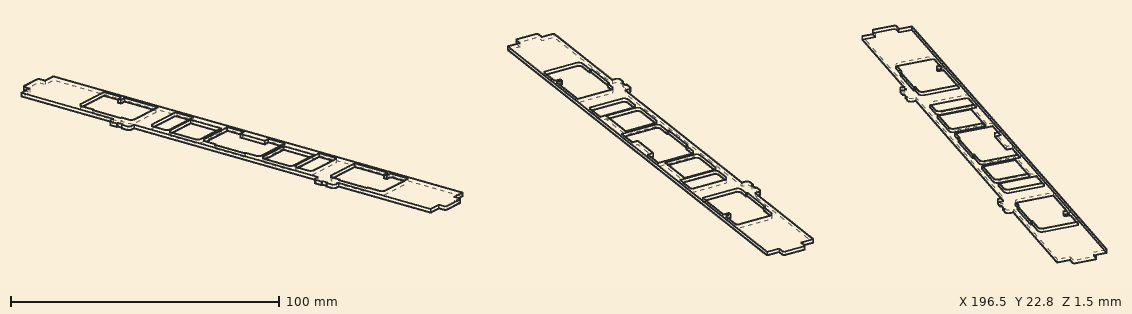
import cadquery as cq

overall_length = 196.5
overall_width = 22.8
thickness = 1.5
body_length = 190.2
body_width = 20.0

tab_width = 9.6
end_tab_corner_radius = 0.8
front_tab_corner_radius = 1.2
front_tab_x = 47.5
tab_notch_width = 2.4
tab_notch_depth = 0.5

window_back = 1.2
recessed_back = 3.5
window_front = 17.0
deepened_front = 17.7
front_corner_radius = 1.5
back_corner_radius = 0.8

center_window_end = 13.4
square_window_start = 14.5
square_window_end = 28.7
narrow_window_start = 29.3
narrow_window_end = 37.5
large_window_start = 45.8
large_window_end = 70.7

center_deepening_end = 6.9
center_block_end = 5.7
large_deepening_start = 50.7
large_deepening_end = 63.7
hook_start = 61.1
hook_width = 1.4
hook_root_radius = 0.8


def block(x_start, x_end, depth_start, depth_end):
    """Full-thickness block between two X positions and two depths from the back edge."""
    return (
        cq.Workplane("XY")
        .box(x_end - x_start, depth_end - depth_start, thickness, centered=False)
        .translate((x_start, -depth_end, 0))
    )


def window(x_start, x_end, depth_start, depth_end):
    """Window cutter with rounded front corners."""
    cutter = block(x_start, x_end, depth_start, depth_end)
    return cutter.faces("<Y").edges("|Z").fillet(front_corner_radius)


def round_back_corner(cutter, x_position, radius):
    """Round the vertical edge where the window's back edge ends at the given X position."""
    corner = cq.NearestToPointSelector((x_position, -window_back, thickness / 2))
    return cutter.edges("|Z").edges(corner).fillet(radius)


def end_tab():
    tab_start = (body_width - tab_width) / 2
    tab = block(0, overall_length / 2, tab_start, tab_start + tab_width)
    return tab.faces(">X").edges("|Z").fillet(end_tab_corner_radius)


def front_tab():
    half_width = tab_width / 2
    half_notch = tab_notch_width / 2
    tab = block(front_tab_x - half_width, front_tab_x + half_width, body_width, overall_width)
    tab = tab.faces("<Y").edges("|Z").fillet(front_tab_corner_radius)
    notch = block(
        front_tab_x - half_notch,
        front_tab_x + half_notch,
        overall_width - tab_notch_depth,
        overall_width,
    )
    return tab.cut(notch)


def large_window():
    """Large window with a deepened front edge and a small hook hanging from its back edge."""
    opening = window(large_window_start, large_window_end, window_back, window_front)
    deepening = block(large_deepening_start, large_deepening_end, window_back, deepened_front)
    hook = block(hook_start, hook_start + hook_width, window_back, recessed_back)
    opening = opening.union(deepening).cut(hook)
    opening = round_back_corner(opening, hook_start + hook_width, hook_root_radius)
    return round_back_corner(opening, large_window_end, back_corner_radius)


def narrow_window():
    opening = window(narrow_window_start, narrow_window_end, window_back, window_front)
    return round_back_corner(opening, narrow_window_end, back_corner_radius)


def center_window():
    """Middle window with a deepened front edge and a block standing in from its back edge."""
    opening = window(-center_window_end, center_window_end, window_back, window_front)
    deepening = block(-center_deepening_end, center_deepening_end, window_back, deepened_front)
    back_block = block(-center_block_end, center_block_end, window_back, recessed_back)
    return opening.union(deepening).cut(back_block)


def with_mirror(shape):
    """The shape together with its mirror image about X = 0."""
    return shape.union(shape.mirror("YZ"))


body = block(-body_length / 2, body_length / 2, 0, body_width)
tabs = [end_tab(), front_tab()]
side_windows = [
    window(square_window_start, square_window_end, recessed_back, deepened_front),
    narrow_window(),
    large_window(),
]

result = body
for tab in tabs:
    result = result.union(with_mirror(tab))
for side_window in side_windows:
    result = result.cut(with_mirror(side_window))
result = result.cut(center_window())